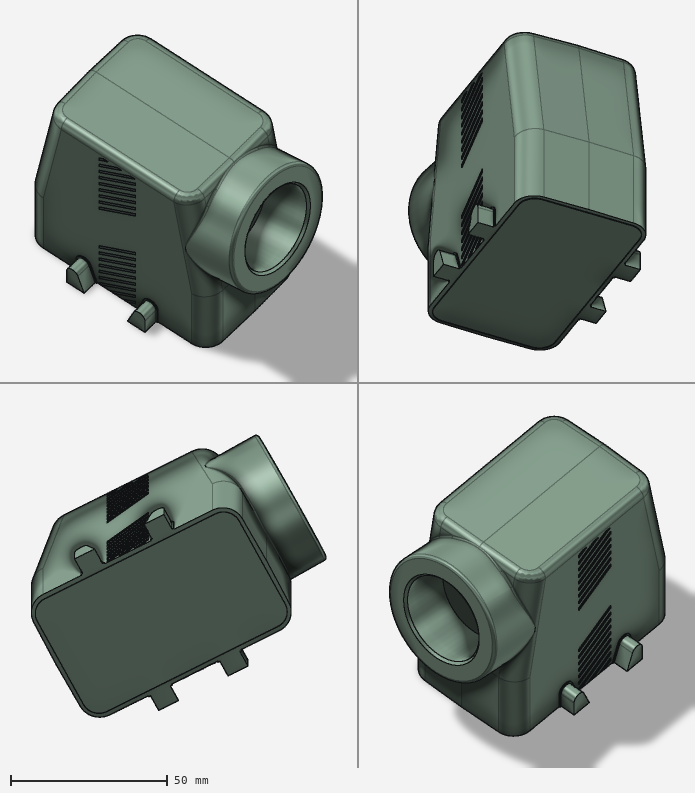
import cadquery as cq
import math

overall_length = 89.3

body_length = 76.1
body_width = 46.1
body_top = 72.2
bend_height = 27.2
end_lean = 10.0
mould_draft = 1.0
corner_radius = 7.15
top_radius = 3.1

lip_height = 0.3
lip_inset = 1.5

collar_radius = 23.0
collar_mouth_z = 51.1
collar_length = 19.65
collar_rounding = 1.1
joint_radius = 0.7
bore_radius = 15.4
bore_chamfer = 0.9
bore_depth = 17.9

peg_outer_x = 16.2
peg_inner_x = 8.9
peg_radius = 2.4
peg_top = 8.7
peg_span = 58.0
pad_margin = 0.6
pad_height = 0.4

band_width = 15.0
stripe_angle = 30.0
stripe_pitch = 3.2
stripe_thickness = 1.1
stripe_height = 0.2
stripes_per_band = 9
upper_band_start = 39.85
lower_band_start = 19.5
band_top = 67.6
band_bottom = 0.6

half_length = body_length / 2
half_width = body_width / 2
lean_rad = math.radians(end_lean)

rim_centre_radius = collar_radius - collar_rounding
rim_reach = rim_centre_radius * math.sin(lean_rad) + collar_rounding * (1 - math.cos(lean_rad))
collar_mouth_x = overall_length - half_length - rim_reach

overlap = 0.9


def make_body():
    """Drafted hood with rounded upright corners and a rounded top edge, cut flat at the bottom."""
    top_half_length = half_length - (body_top - bend_height) * math.tan(lean_rad)
    rough_bottom = -corner_radius
    outline = [
        (-half_length, rough_bottom),
        (half_length, rough_bottom),
        (half_length, bend_height),
        (top_half_length, body_top),
        (-top_half_length, body_top),
        (-half_length, bend_height),
    ]
    profile = cq.Workplane("XZ").polyline(outline).close()
    near_half = (
        profile.extrude(half_width, taper=mould_draft)
        .faces("<Y")
        .edges("not #Z")
        .fillet(corner_radius)
        .faces(">Z")
        .edges("not >Z")
        .fillet(top_radius)
    )
    body = near_half.union(near_half.mirror("XZ"))

    keep = cq.Workplane("XY").box(
        2 * body_length, 2 * body_width, body_top, centered=(True, True, False)
    )
    return body.intersect(keep.translate((0, 0, lip_height)))


def mouth_plane():
    """Plane of the collar mouth, its normal pointing out of the collar."""
    return cq.Plane(
        origin=(collar_mouth_x, 0, collar_mouth_z),
        xDir=(-math.sin(lean_rad), 0, math.cos(lean_rad)),
        normal=(math.cos(lean_rad), 0, math.sin(lean_rad)),
    )


def add_collar(body):
    """Join the round cable entry and fillet the seam between it and the body."""
    collar = cq.Workplane(mouth_plane()).circle(collar_radius).extrude(-collar_length)
    collar_side = cq.selectors.NearestToPointSelector((collar_mouth_x, 0, collar_mouth_z))
    joined = body.union(collar)
    seam = joined.faces("%CYLINDER").faces(collar_side).edges("not (%LINE or %CIRCLE)")
    joined = joined.newObject(seam.vals()).fillet(joint_radius)
    return joined.edges(">X").fillet(collar_rounding)


def make_bore():
    """Blind cable bore with a flared mouth."""
    bore = cq.Workplane(mouth_plane()).circle(bore_radius).extrude(-bore_depth)
    flare = (
        cq.Workplane(mouth_plane())
        .circle(bore_radius + bore_chamfer)
        .workplane(offset=-bore_chamfer)
        .circle(bore_radius)
        .loft()
    )
    return bore.union(flare)


def make_lip():
    """Thin plate under the hood, set in from its walls."""
    return (
        cq.Workplane("XY")
        .rect(body_length - 2 * lip_inset, body_width - 2 * lip_inset)
        .extrude(lip_height + overlap)
        .edges("|Z")
        .fillet(corner_radius - lip_inset)
    )


def peg_block(margin, span):
    """Bar across the body with the left-hand peg outline: upright outside, round top, sloping inside."""
    radius = peg_radius + margin
    centre_x = -peg_outer_x + peg_radius
    centre_z = peg_top - peg_radius
    foot_x = -peg_inner_x + margin
    foot_distance = math.hypot(foot_x - centre_x, centre_z - lip_height)
    foot_direction = math.atan2(lip_height - centre_z, foot_x - centre_x)
    tangent_direction = foot_direction + math.acos(radius / foot_distance)
    arc_middle = (tangent_direction + math.pi) / 2

    def on_round(angle):
        return centre_x + radius * math.cos(angle), centre_z + radius * math.sin(angle)

    return (
        cq.Workplane("XZ")
        .moveTo(foot_x, lip_height)
        .lineTo(*on_round(tangent_direction))
        .threePointArc(on_round(arc_middle), on_round(math.pi))
        .lineTo(centre_x - radius, lip_height)
        .close()
        .extrude(span / 2, both=True)
    )


def add_pegs(body):
    """Two mirrored pairs of pegs, each peg standing on a thin pad."""
    pad = peg_block(pad_margin, body_width + 2 * pad_height)
    left_pegs = peg_block(0, peg_span).union(pad)
    return body.union(left_pegs).union(left_pegs.mirror("YZ"))


def make_side_stripes():
    """Both stripe bands of the near side, trimmed to a rectangle."""
    rise = band_width * math.tan(math.radians(stripe_angle))
    left = -band_width / 2
    right = band_width / 2
    starts = [upper_band_start + i * stripe_pitch for i in range(stripes_per_band)]
    starts += [lower_band_start - i * stripe_pitch for i in range(stripes_per_band)]
    stripes = cq.Workplane("XZ", origin=(0, overlap - half_width, 0))
    for start in starts:
        stripes = stripes.polyline(
            [
                (left, start),
                (right, start + rise),
                (right, start + rise + stripe_thickness),
                (left, start + stripe_thickness),
            ]
        ).close()
    stripes = stripes.extrude(overlap + stripe_height)
    window = cq.Workplane("XY").box(
        band_width, 2 * body_width, band_top - band_bottom, centered=(True, True, False)
    )
    return stripes.intersect(window.translate((0, 0, band_bottom)))


def add_stripes(body):
    """Same stripes on both sides, turned half round for the far side."""
    near_stripes = make_side_stripes()
    far_stripes = near_stripes.rotate((0, 0, 0), (0, 0, 1), 180)
    return body.union(near_stripes).union(far_stripes)


hood = add_collar(make_body()).cut(make_bore()).union(make_lip())
result = add_stripes(add_pegs(hood))